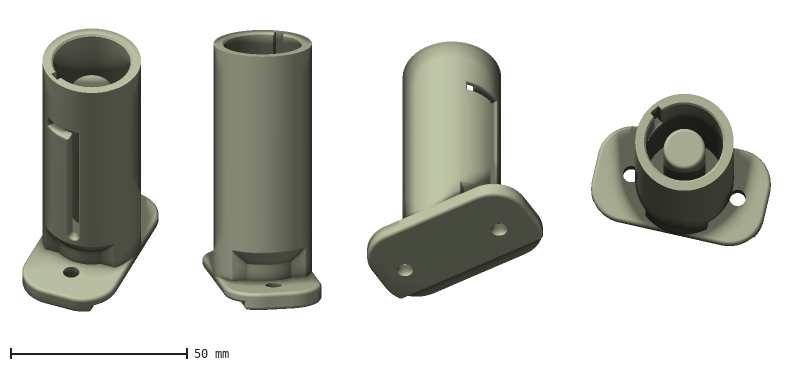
import cadquery as cq
import math

total_height = 72.0
tube_diameter = 28.0
bore_diameter = 22.0
pin_diameter = 11.9
plate_length = 50.0
plate_thickness = 5.0
plate_corner_radius = 10.0
plate_shift = 1.0
edge_radius = 1.0
break_size = 0.5

hole_diameter = 4.7
hole_offset = 15.5
step_start_x = 9.6
step_height = 2.0

bore_floor_z = 15.0
pin_tip_depth = 10.0

track_width = 3.0
track_angle = 35.0
track_low_z = 17.5
track_high_z = 54.6
entry_groove_radius = 12.8

relief_y = 9.0
neck_diameter = 22.0
relief_top_z = 14.05
neck_top_z = 9.9

clearance = 0.7
tolerance = 0.01

tube_radius = tube_diameter / 2
bore_radius = bore_diameter / 2
neck_radius = neck_diameter / 2
cut_reach = tube_radius + clearance
half_track = track_width / 2
track_top_z = track_high_z + half_track
track_ledge_z = track_high_z - half_track
turn_radians = math.radians(track_angle)


def box(x_min, x_max, y_min, y_max, z_min, z_max):
    sizes = (x_max - x_min, y_max - y_min, z_max - z_min)
    return cq.Workplane("XY").box(*sizes, centered=False).translate((x_min, y_min, z_min))


def cylinder(radius, z_min, z_max):
    return cq.Workplane("XY").workplane(offset=z_min).circle(radius).extrude(z_max - z_min)


def fillet_where(shape, condition, radius):
    """Round every edge of the shape that meets the condition."""
    chosen = [edge for edge in shape.edges().vals() if condition(edge)]
    return shape.newObject(chosen).fillet(radius)


def make_plate():
    """Rounded mounting plate with a full-length step under its +X side."""
    plate = (
        cq.Workplane("XY")
        .rect(tube_diameter, plate_length)
        .extrude(plate_thickness)
        .edges("|Z")
        .fillet(plate_corner_radius)
        .translate((0, -plate_shift, 0))
    )
    step = box(step_start_x, tube_radius, -plate_length, plate_length, 0, step_height)

    def is_rounded(edge):
        center = edge.Center()
        on_step_wall = abs(center.x - step_start_x) < tolerance
        is_inner_corner = on_step_wall and abs(center.z - step_height) < tolerance
        is_level = edge.BoundingBox().zlen < tolerance
        return (is_level or on_step_wall) and not is_inner_corner

    return fillet_where(plate.cut(step), is_rounded, edge_radius)


def make_screw_holes():
    centers = [(0, -hole_offset), (0, hole_offset)]
    return cq.Workplane("XY").pushPoints(centers).circle(hole_diameter / 2).extrude(plate_thickness)


def make_relief():
    """Material removed on the -Y side, leaving the round neck and a conical overhang."""
    cone_slope = (relief_top_z - neck_top_z) / (tube_radius - neck_radius)
    ring = (
        cq.Workplane("XZ")
        .moveTo(neck_radius, plate_thickness)
        .lineTo(cut_reach, plate_thickness)
        .lineTo(cut_reach, relief_top_z + clearance * cone_slope)
        .lineTo(neck_radius, neck_top_z)
        .close()
        .revolve(360, (0, 0), (0, 1))
    )
    return ring.intersect(box(-cut_reach, cut_reach, -cut_reach, -relief_y, 0, total_height))


def turn_to_entry(shape):
    """Turn a shape on the -Y side to the closed end of the track."""
    return shape.rotate((0, 0, 0), (0, 0, 1), -track_angle)


def make_track():
    """Vertical slot with a round lower end, then a turn towards -X along the tube wall."""
    slot = box(-half_track, half_track, -cut_reach, 0, track_low_z, track_top_z)
    round_end = cq.Workplane("XZ").center(0, track_low_z).circle(half_track).extrude(cut_reach)
    turn_stop = (-cut_reach * math.sin(turn_radians), -cut_reach * math.cos(turn_radians))
    turn = (
        cq.Workplane("XY")
        .workplane(offset=track_ledge_z)
        .lineTo(0, -cut_reach)
        .radiusArc(turn_stop, cut_reach)
        .close()
        .extrude(track_width)
    )
    closed_end = turn_to_entry(box(-half_track, half_track, -cut_reach, 0, track_ledge_z, track_top_z))
    return slot.union(round_end).union(turn).union(closed_end)


def make_entry_groove():
    """Groove in the bore wall from the rim down to the closed end of the track."""
    groove = box(-half_track, half_track, -tube_radius, 0, track_ledge_z, total_height)
    return turn_to_entry(groove).intersect(cylinder(entry_groove_radius, 0, total_height))


def make_tube():
    """Tube with two reliefs at its foot, a bore, and the bayonet track in its -Y wall."""
    tube = cylinder(tube_radius, plate_thickness - edge_radius, total_height)
    relief = make_relief()
    tube = tube.cut(relief).cut(relief.mirror("XZ"))

    def is_relief_edge(edge):
        return plate_thickness + tolerance < edge.Center().z < relief_top_z + tolerance

    tube = fillet_where(tube, is_relief_edge, break_size)
    tube = tube.cut(cylinder(bore_radius, bore_floor_z, total_height)).cut(make_track())

    def is_track_mouth(edge):
        center = edge.Center()
        ends = [edge.startPoint(), edge.endPoint()]
        on_outside = all(abs(math.hypot(end.x, end.y) - tube_radius) < tolerance for end in ends)
        at_track_height = bore_floor_z < center.z < track_top_z + tolerance
        return on_outside and at_track_height and center.y < -tolerance

    tube = fillet_where(tube, is_track_mouth, break_size)
    bore_rim = cq.selectors.RadiusNthSelector(0)
    tube = tube.faces(">Z").edges(bore_rim).chamfer(break_size)
    return tube.cut(make_entry_groove())


def make_pin():
    """Round pin standing on the bore floor."""
    pin = cylinder(pin_diameter / 2, bore_floor_z, total_height - pin_tip_depth)
    return pin.faces(">Z").edges().fillet(edge_radius)


result = make_plate().union(make_tube()).union(make_pin()).cut(make_screw_holes())